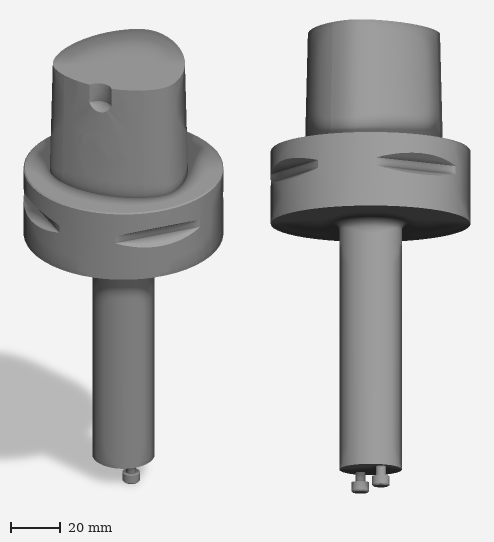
import cadquery as cq
import math


taper_height = 48.0
polygon_diameter = 55.3
lobe_rise = 2.0
taper_inset = 1.2
lobe_count = 3
first_lobe_angle = 90.0
lobe_half_angle = 33.0

notch_radius = 5.5
notch_axis_y = -27.0
notch_depth = 8.0

flange_diameter = 80.0
flange_height = 30.0
flange_chamfer = 0.5

groove_count = 4
groove_first_angle = 45.0
groove_depth = 4.5
groove_floor_height = 3.2
groove_mouth_height = 8.6
groove_drop = 12.0

bar_diameter = 25.0
bar_length = 100.0
root_fillet = 3.0

screw_circle_diameter = 16.0
screw_angles = (135.0, 315.0)
screw_shank_diameter = 4.0
screw_shank_length = 4.0
screw_head_diameter = 7.0
screw_head_height = 4.0
screw_head_chamfer = 0.5

flange_radius = flange_diameter / 2
bar_end_z = -flange_height - bar_length


def polygon_point(normal_angle, inset, z):
    """Point of the three-lobed outline whose outward normal has the given angle (radians)."""
    phase = lobe_count * (normal_angle - math.radians(first_lobe_angle))
    support = polygon_diameter / 2 - inset + lobe_rise * math.cos(phase)
    slope = -lobe_count * lobe_rise * math.sin(phase)
    x = support * math.cos(normal_angle) - slope * math.sin(normal_angle)
    y = support * math.sin(normal_angle) + slope * math.cos(normal_angle)
    return cq.Vector(x, y, z)


def polygon_edge(start_angle, end_angle, inset, z, intervals=12):
    """Smooth edge along the outline between two normal angles (degrees)."""
    step = (end_angle - start_angle) / intervals
    angles = [math.radians(start_angle + i * step) for i in range(intervals + 1)]
    return cq.Edge.makeSpline([polygon_point(angle, inset, z) for angle in angles])


def polygon_wire(inset, z):
    """Closed outline made of alternating lobe and flank edges."""
    pitch = 360.0 / lobe_count
    edges = []
    for i in range(lobe_count):
        lobe_angle = first_lobe_angle + i * pitch
        lobe_start = lobe_angle - lobe_half_angle
        lobe_end = lobe_angle + lobe_half_angle
        edges.append(polygon_edge(lobe_start, lobe_end, inset, z))
        edges.append(polygon_edge(lobe_end, lobe_start + pitch, inset, z))
    return cq.Wire.assembleEdges(edges)


def make_taper():
    bottom = polygon_wire(0.0, 0.0)
    top = polygon_wire(taper_inset, taper_height)
    return cq.Workplane(obj=cq.Solid.makeLoft([bottom, top], True))


def make_notch():
    """Upright cylinder that runs out of the flank, downward and outward at 45 degrees."""
    floor_center = cq.Vector(0, notch_axis_y, taper_height - notch_depth)
    upright = cq.Solid.makeCylinder(notch_radius, notch_depth, floor_center)
    outline = cq.Wire.makeCircle(notch_radius, floor_center, cq.Vector(0, 0, 1))
    runout = cq.Solid.extrudeLinear(outline, [], cq.Vector(0, -notch_radius, -notch_radius))
    return cq.Workplane(obj=upright).union(cq.Workplane(obj=runout))


def make_flange():
    return (
        cq.Workplane("XY")
        .circle(flange_radius)
        .extrude(-flange_height)
        .faces(">Z")
        .edges()
        .chamfer(flange_chamfer)
    )


def make_groove(angle):
    """Straight trapezoid groove across the rim, with its mouth facing the given angle."""
    floor_x = flange_radius - groove_depth
    floor_half = groove_floor_height / 2
    mouth_half = groove_mouth_height / 2
    return (
        cq.Workplane("XZ", origin=(0, 0, -groove_drop))
        .polyline([
            (floor_x, -floor_half),
            (flange_radius, -mouth_half),
            (flange_radius, mouth_half),
            (floor_x, floor_half),
        ])
        .close()
        .extrude(flange_radius, both=True)
        .rotate((0, 0, 0), (0, 0, 1), angle)
    )


def make_bar():
    """Round bar below the flange, flaring into it with a concave fillet."""
    bar_radius = bar_diameter / 2
    flare_radius = bar_radius + root_fillet
    fillet_end_z = -flange_height - root_fillet
    arc_offset = root_fillet * math.sqrt(0.5)
    arc_middle = (flare_radius - arc_offset, fillet_end_z + arc_offset)
    return (
        cq.Workplane("XZ")
        .moveTo(0, -flange_height)
        .lineTo(flare_radius, -flange_height)
        .threePointArc(arc_middle, (bar_radius, fillet_end_z))
        .lineTo(bar_radius, bar_end_z)
        .lineTo(0, bar_end_z)
        .close()
        .revolve(360, (0, 0), (0, 1))
    )


def make_screw(angle):
    """Cap screw on the screw circle, its head hanging clear of the bar end."""
    x = screw_circle_diameter / 2 * math.cos(math.radians(angle))
    y = screw_circle_diameter / 2 * math.sin(math.radians(angle))
    head_top_z = bar_end_z - screw_shank_length
    shank = (
        cq.Workplane("XY", origin=(x, y, bar_end_z))
        .circle(screw_shank_diameter / 2)
        .extrude(-screw_shank_length)
    )
    head = (
        cq.Workplane("XY", origin=(x, y, head_top_z))
        .circle(screw_head_diameter / 2)
        .extrude(-screw_head_height)
        .faces("<Z")
        .edges()
        .chamfer(screw_head_chamfer)
    )
    return shank.union(head)


flange = make_flange()
for i in range(groove_count):
    flange = flange.cut(make_groove(groove_first_angle + i * 360.0 / groove_count))

result = flange.union(make_taper().cut(make_notch())).union(make_bar())

for screw_angle in screw_angles:
    result = result.union(make_screw(screw_angle))